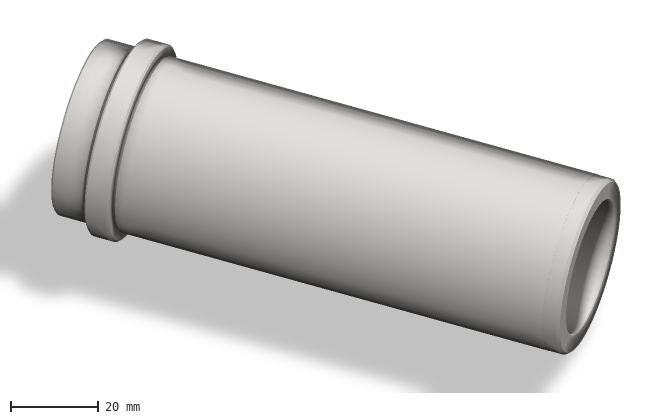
import cadquery as cq

length = 124.0
bore_diameter = 32.0
body_diameter = 42.0
flange_diameter = 47.0

flange_start = 9.0
flange_width = 6.0
flange_chamfer = 0.5
front_groove_width = 1.1
rear_groove_width = 0.7
groove_depth = 0.4

front_chamfer = 0.5
bore_chamfer = 0.2
rear_chamfer_length = 0.7
rear_chamfer_height = 0.6
lead_in_length = 4.1
lead_in_drop = 0.06

flange_end = flange_start + flange_width
lead_in_start = length - lead_in_length


def cylinder(start, end, diameter):
    """Solid cylinder along X between two stations."""
    return cq.Workplane("YZ", origin=(start, 0, 0)).circle(diameter / 2).extrude(end - start)


def groove(start, width):
    """Ring of material to remove from the outside of the body."""
    end = start + width
    core = cylinder(start, end, body_diameter - 2 * groove_depth)
    return cylinder(start, end, flange_diameter).cut(core)


body = cylinder(0, lead_in_start, body_diameter).faces("<X").chamfer(front_chamfer)

lead_in = cylinder(lead_in_start, length, body_diameter - 2 * lead_in_drop)
lead_in = lead_in.faces(">X").edges().chamfer(rear_chamfer_length, rear_chamfer_height)
body = body.union(lead_in)

body = body.cut(groove(flange_start - front_groove_width, front_groove_width))
body = body.cut(groove(flange_end, rear_groove_width))

flange = cylinder(flange_start, flange_end, flange_diameter).edges().chamfer(flange_chamfer)
body = body.union(flange)

bore = cylinder(0, length, bore_diameter)
body = body.cut(bore)
result = body.edges(cq.selectors.RadiusNthSelector(0)).edges("<X or >X").chamfer(bore_chamfer)